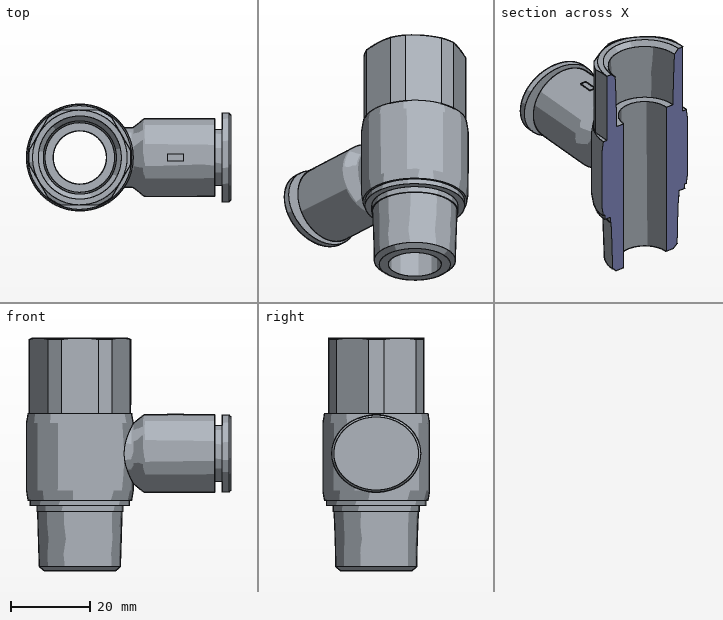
import cadquery as cq
import math

total_height = 58.8
hex_height = 19.0
body_top = total_height - hex_height
body_upper_taper = 2.5
body_upper_edge = body_top - body_upper_taper
body_bottom = 17.8
body_lower_taper = 2.4
body_lower_edge = body_bottom + body_lower_taper
collar_bottom = 16.5
thread_top = 15.0
thread_chamfer_height = 1.1

body_radius = 13.5
body_end_radius = 13.1
collar_radius = 12.6
relief_radius = 10.9
thread_top_radius = 10.7
thread_taper = 1 / 32
thread_bottom_radius = thread_top_radius - thread_taper * (thread_top - thread_chamfer_height)
thread_tip_radius = 9.0

hex_across_flats = 24.0
hex_corner_radius = 12.87
hex_top_radius = 11.95
hex_chamfer_height = 0.36

through_radius = 6.7
socket_mouth_radius = 10.5
socket_chamfer = 1.25
socket_radius = socket_mouth_radius - socket_chamfer
socket_depth = 16.0
socket_end_radius = socket_radius - thread_taper * (socket_depth - socket_chamfer)

branch_height = 29.65
neck_radius = 7.55
cone_start = 13.38
cone_end = 16.25
cone_fillet = 0.75
branch_radius = 9.85
branch_end = 34.15
branch_edge_chamfer = 0.15
sleeve_radius = 7.13

ring_start = 35.9
ring_end = 38.2
ring_half_width = 11.25
ring_half_height = 9.77
ring_chamfer = 0.55

pad_start = 22.15
pad_length = 4.0
pad_width = 1.7
pad_rise = 0.17


def make_body():
    """Turned upright body with the tapered male thread below it."""
    profile = [
        (0, 0),
        (thread_tip_radius, 0),
        (thread_bottom_radius, thread_chamfer_height),
        (thread_top_radius, thread_top),
        (relief_radius, thread_top),
        (relief_radius, collar_bottom),
        (collar_radius, collar_bottom),
        (collar_radius, body_bottom),
        (body_end_radius, body_bottom),
        (body_radius, body_lower_edge),
        (body_radius, body_upper_edge),
        (body_end_radius, body_top),
        (0, body_top),
    ]
    return cq.Workplane("XZ").polyline(profile).close().revolve(360, (0, 0, 0), (0, 1, 0))


def make_hex_head():
    """Hexagon with flats facing +Y and -Y, turned round at its corners and chamfered on top."""
    across_corners = hex_across_flats / math.cos(math.pi / 6)
    hexagon = cq.Workplane("XY").workplane(offset=body_top).polygon(6, across_corners).extrude(hex_height)
    turned_profile = [
        (0, body_top),
        (hex_corner_radius, body_top),
        (hex_corner_radius, total_height - hex_chamfer_height),
        (hex_top_radius, total_height),
        (0, total_height),
    ]
    turned = cq.Workplane("XZ").polyline(turned_profile).close().revolve(360, (0, 0, 0), (0, 1, 0))
    return hexagon.intersect(turned)


def make_branch():
    """Turned side branch: neck, cone, main barrel and the sleeve behind the release ring."""
    profile = [
        (0, 0),
        (0, neck_radius),
        (cone_start, neck_radius),
        (cone_end, branch_radius),
        (branch_end - branch_edge_chamfer, branch_radius),
        (branch_end, branch_radius - branch_edge_chamfer),
        (branch_end, sleeve_radius),
        (ring_start, sleeve_radius),
        (ring_start, 0),
    ]
    turned = cq.Workplane("XZ").polyline(profile).close().revolve(360, (0, 0, 0), (1, 0, 0))
    for cone_edge_x in (cone_start, cone_end):
        cone_edge = cq.selectors.BoxSelector(
            (cone_edge_x - cone_fillet, -branch_radius, -branch_radius),
            (cone_edge_x + cone_fillet, branch_radius, branch_radius),
        )
        turned = turned.edges("%CIRCLE").edges(cone_edge).fillet(cone_fillet)
    return turned.translate((0, 0, branch_height))


def make_release_ring():
    """Oval disc, wider along Y than along Z, with its outer rim chamfered."""
    ring = (
        cq.Workplane("YZ", origin=(ring_start, 0, branch_height))
        .ellipse(ring_half_width, ring_half_height)
        .extrude(ring_end - ring_start)
    )
    return ring.faces(">X").edges().chamfer(ring_chamfer)


def make_pad():
    """Small rectangular pad standing just proud of the barrel."""
    pad_height = branch_radius + pad_rise - neck_radius
    pad = cq.Workplane("XY").box(pad_length, pad_width, pad_height, centered=(False, True, False))
    return pad.translate((pad_start, 0, branch_height + neck_radius))


def make_bores():
    """Tapered female socket at the top and the through bore below it."""
    profile = [
        (0, 0),
        (through_radius, 0),
        (through_radius, total_height - socket_depth),
        (socket_end_radius, total_height - socket_depth),
        (socket_radius, total_height - socket_chamfer),
        (socket_mouth_radius, total_height),
        (0, total_height),
    ]
    return cq.Workplane("XZ").polyline(profile).close().revolve(360, (0, 0, 0), (0, 1, 0))


result = (
    make_body()
    .union(make_hex_head())
    .union(make_branch())
    .union(make_release_ring())
    .union(make_pad())
    .cut(make_bores())
)